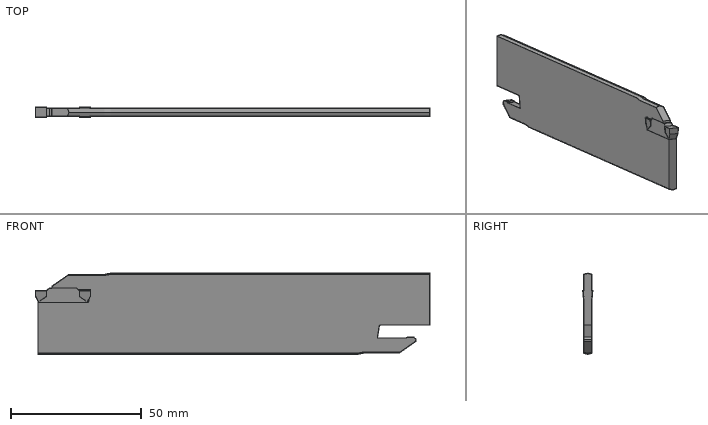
import cadquery as cq

blade_start = 0.9
blade_end = 151.0
blade_height = 31.1
blade_thickness = 3.2
ridge_rise = 0.5
edge_step = 0.5
step_low_x = 26.5
step_high_x = 28.8
center_x = (blade_start + blade_end) / 2
center_z = blade_height / 2

jaw_slope_top_x = 12.8
jaw_slope_top_z = blade_height - edge_step
nose_top = (6.3, 26.1)
nose_tip = (6.2, 25.4)
nose_bottom = (7.1, 24.5)
lip_end_x = 9.4
lip_ramp = 0.8
jaw_z = 24.8
pocket_floor_z = 20.0
pocket_back_top_x = 21.0
pocket_back_bottom_x = 20.2
pocket_corner_radius = 0.3
cut_margin = 3.0

insert_length = 21.0
insert_width = 4.0
insert_top_z = 25.4
head_top_z = 24.5
head_length = 4.2
head_ramp = 1.0
front_bottom_z = 22.2
heel_x = 1.2
head_rear_bottom_z = 22.2
head_lowest = (1.8, 20.5)
insert_center_x = insert_length / 2


def extrude_along_y(points, width):
    """Extrude an XZ outline to the given width, centred on Y = 0."""
    return cq.Workplane("XZ").polyline(points).close().extrude(width / 2, both=True)


def section_wire(x, bottom_z, top_z):
    """Six-sided blade section at x, with a ridge at its bottom and top."""
    side = blade_thickness / 2
    points = [
        (x, 0, bottom_z),
        (x, side, bottom_z + ridge_rise),
        (x, side, top_z - ridge_rise),
        (x, 0, top_z),
        (x, -side, top_z - ridge_rise),
        (x, -side, bottom_z + ridge_rise),
    ]
    return cq.Wire.makePolygon([cq.Vector(*p) for p in points], close=True)


def make_ridged_bar():
    low_top = blade_height - edge_step
    stations = [
        (blade_start, 0, low_top),
        (step_low_x, 0, low_top),
        (step_high_x, 0, blade_height),
        (2 * center_x - step_high_x, 0, blade_height),
        (2 * center_x - step_low_x, edge_step, blade_height),
        (blade_end, edge_step, blade_height),
    ]
    wires = [section_wire(*station) for station in stations]
    return cq.Workplane(cq.Solid.makeLoft(wires, True)).clean()


def make_end_cutter():
    """Material removed at the left end to leave the jaw and its pocket."""
    outside_x = blade_start - cut_margin
    above_z = blade_height + cut_margin
    slope_run = (jaw_slope_top_x - nose_top[0]) / (jaw_slope_top_z - nose_top[1])
    slope_exit_x = jaw_slope_top_x + slope_run * (above_z - jaw_slope_top_z)
    outline = [
        (outside_x, pocket_floor_z),
        (pocket_back_bottom_x, pocket_floor_z),
        (pocket_back_top_x, jaw_z),
        (lip_end_x + lip_ramp, jaw_z),
        (lip_end_x, nose_bottom[1]),
        nose_bottom,
        nose_tip,
        nose_top,
        (slope_exit_x, above_z),
        (outside_x, above_z),
    ]
    cutter = extrude_along_y(outline, 2 * insert_width)
    floor_corner = cq.selectors.NearestToPointSelector((pocket_back_bottom_x, 0, pocket_floor_z))
    return cutter.edges("|Y").edges(floor_corner).fillet(pocket_corner_radius)


def make_blade(insert):
    cutter = make_end_cutter()
    center = (center_x, 0, center_z)
    opposite_cutter = cutter.rotate(center, (center_x, 1, center_z), 180)
    return make_ridged_bar().cut(cutter).cut(opposite_cutter).cut(insert)


def make_insert():
    half_outline = [
        (heel_x, pocket_floor_z),
        (0, front_bottom_z),
        (0, head_top_z),
        (head_length, head_top_z),
        (head_length + head_ramp, insert_top_z),
    ]
    mirrored = [(insert_length - x, z) for x, z in reversed(half_outline)]
    body = extrude_along_y(half_outline + mirrored, blade_thickness)
    lowest_front_x = heel_x * (front_bottom_z - head_lowest[1]) / (front_bottom_z - pocket_floor_z)
    head_outline = [
        (0, head_top_z),
        (head_length, head_top_z),
        (head_length, head_rear_bottom_z),
        head_lowest,
        (lowest_front_x, head_lowest[1]),
        (0, front_bottom_z),
    ]
    head_section = [
        (-insert_width / 2, head_top_z),
        (insert_width / 2, head_top_z),
        (blade_thickness / 2, head_lowest[1]),
        (-blade_thickness / 2, head_lowest[1]),
    ]
    drafted_bar = cq.Workplane("YZ").polyline(head_section).close().extrude(insert_length)
    head = extrude_along_y(head_outline, insert_width).intersect(drafted_bar)
    opposite_head = head.mirror("YZ", (insert_center_x, 0, 0))
    return body.union(head).union(opposite_head)


insert = make_insert()
blade = make_blade(insert)
result = cq.Compound.makeCompound([*blade.solids().vals(), *insert.solids().vals()])